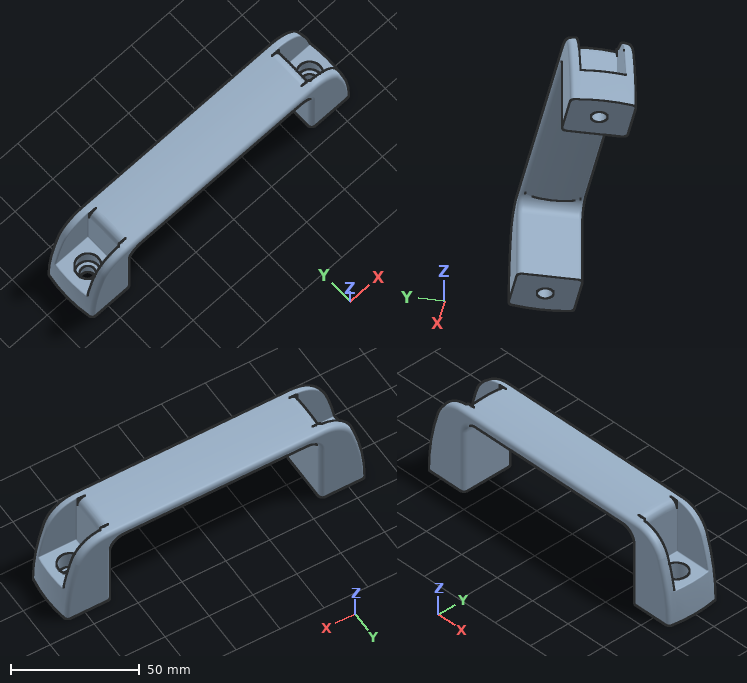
import cadquery as cq
import math

length = 138.8
width = 26.0
height = 41.0

corner_radius = 15.8
corner_end_x = -49.4

opening_half = 47.5
opening_height = 34.8
opening_corner_radius = 5.8
opening_edge_radius = 2.1
underside_bulge = 0.5

crown_radius = 63.8
edge_radius = 2.0

pocket_width = 17.8
pocket_floor_z = 15.1
pocket_back_x = -50.1
pocket_inner_radius = 0.4
pocket_rim_radius = 0.5
lip_radius = 3.6

hole_x = -58.5
hole_diameter = 6.5
counterbore_diameter = 10.5
counterbore_depth = 8.3

margin = 1.4

selection_slack = 0.1

half_length = length / 2
half_width = width / 2
corner_center_z = height - corner_radius

corner_dx = corner_end_x + half_length
flank_radius = (corner_dx**2 + corner_center_z**2 - corner_radius**2) / (2 * (corner_dx - corner_radius))
flank_center_x = flank_radius - half_length
flank_angle = math.atan2(corner_center_z, flank_center_x - corner_end_x)


def flank_point(angle, offset):
    radius = flank_radius + offset
    return (flank_center_x - radius * math.cos(angle), radius * math.sin(angle))


def corner_point(angle, offset):
    radius = corner_radius + offset
    return (corner_end_x - radius * math.cos(angle), corner_center_z + radius * math.sin(angle))


def left_outline(sketch, offset):
    """Add flank, corner and half the top, from the base of the left leg to mid-length."""
    corner_mid_angle = (flank_angle + math.pi / 2) / 2
    return (
        sketch
        .threePointArc(flank_point(flank_angle / 2, offset), flank_point(flank_angle, offset))
        .threePointArc(corner_point(corner_mid_angle, offset), (corner_end_x, height + offset))
        .lineTo(0, height + offset)
    )


def mirror_pair(left):
    return left.union(left.mirror("YZ"))


def make_body():
    """Bow with spare stock on the outside, opened below the grip."""
    sketch = cq.Workplane("XZ").moveTo(*flank_point(0, margin))
    half = left_outline(sketch, margin).lineTo(0, 0).close().extrude(half_width, both=True)
    opening = (
        cq.Workplane("XY")
        .box(2 * opening_half, width + 2 * margin, opening_height + margin)
        .translate((0, 0, (opening_height - margin) / 2))
        .edges("|Y and >Z")
        .fillet(opening_corner_radius)
    )
    body = mirror_pair(half).cut(opening)
    reach = opening_half + selection_slack
    for side in (-1, 1):
        rim = cq.selectors.BoxSelector(
            (-reach, side * half_width - selection_slack, selection_slack),
            (reach, side * half_width + selection_slack, opening_height + selection_slack),
        )
        body = body.edges(rim).fillet(opening_edge_radius)
    return body


def make_underside_bulge():
    """Shallow barrel under the grip, between the rounded edges of the opening."""
    chord_half = half_width - opening_edge_radius
    return (
        cq.Workplane("YZ")
        .moveTo(-chord_half, opening_height)
        .threePointArc((0, opening_height - underside_bulge), (chord_half, opening_height))
        .lineTo(chord_half, opening_height + margin)
        .lineTo(-chord_half, opening_height + margin)
        .close()
        .extrude(opening_half, both=True)
    )


def make_crown_cutter():
    """Stock outside the crowned, edge-rounded outer face of the left half."""
    round_y = half_width - edge_radius
    round_depth = crown_radius - math.sqrt((crown_radius - edge_radius)**2 - round_y**2)
    tangent_angle = math.asin(round_y / (crown_radius - edge_radius))
    mid_angle = (tangent_angle + math.pi / 2) / 2
    tangent_y = crown_radius * math.sin(tangent_angle)
    tangent_x = crown_radius * (1 - math.cos(tangent_angle)) - half_length
    mid_y = round_y + edge_radius * math.sin(mid_angle)
    mid_x = round_depth - edge_radius * math.cos(mid_angle) - half_length
    edge_x = round_depth - half_length
    outer_x = -half_length - 2 * margin
    outer_y = half_width + margin

    section = (
        cq.Workplane("XY", origin=(0, 0, -margin))
        .moveTo(outer_x, -outer_y)
        .lineTo(edge_x, -outer_y)
        .lineTo(edge_x, -half_width)
        .threePointArc((mid_x, -mid_y), (tangent_x, -tangent_y))
        .threePointArc((-half_length, 0), (tangent_x, tangent_y))
        .threePointArc((mid_x, mid_y), (edge_x, half_width))
        .lineTo(edge_x, outer_y)
        .lineTo(outer_x, outer_y)
        .close()
    )
    path = cq.Workplane("XZ").moveTo(-half_length, -margin).lineTo(-half_length, 0)
    return section.sweep(left_outline(path, 0))


def make_pocket():
    """Screw pocket in the left leg, open at the outer face, with rounded inner corners."""
    pocket_length = half_length + pocket_back_x + 2 * margin
    pocket_height = height - pocket_floor_z + 2 * margin
    return (
        cq.Workplane("XY")
        .box(pocket_length, pocket_width, pocket_height, centered=(False, True, False))
        .translate((pocket_back_x - pocket_length, 0, pocket_floor_z))
        .edges("<Z or (|Z and >X)")
        .edges("not <X")
        .fillet(pocket_inner_radius)
    )


def make_lip():
    """Stock above the convex lip that joins the pocket's back wall to the crowned top.

    The lip follows the crown, so its profile is revolved about the crown axis.
    """
    lip_width = pocket_width - 2 * pocket_inner_radius
    lip_end_x = pocket_back_x + lip_radius
    arc_offset = lip_radius * (1 - math.sqrt(0.5))
    crown_axis_z = height - crown_radius
    ring = (
        cq.Workplane("XZ")
        .moveTo(pocket_back_x - margin, height - lip_radius)
        .lineTo(pocket_back_x, height - lip_radius)
        .threePointArc((pocket_back_x + arc_offset, height - arc_offset), (lip_end_x, height))
        .lineTo(lip_end_x, height + margin)
        .lineTo(pocket_back_x - margin, height + margin)
        .close()
        .revolve(360, (0, crown_axis_z, 0), (1, crown_axis_z, 0))
    )
    limits = cq.Workplane("XY").box(length, lip_width, height).translate((0, 0, height))
    return ring.intersect(limits)


def round_pocket_rim(body, side):
    """Round the pocket's outer rim; picking its edge at the floor takes the whole tangent chain."""
    floor_edge = cq.selectors.NearestToPointSelector((side * half_length, 0, pocket_floor_z))
    return body.edges(floor_edge).fillet(pocket_rim_radius)


def make_screw_hole():
    counterbore_z = pocket_floor_z - counterbore_depth
    shank = (
        cq.Workplane("XY", origin=(hole_x, 0, -margin))
        .circle(hole_diameter / 2)
        .extrude(pocket_floor_z + 2 * margin)
    )
    counterbore = (
        cq.Workplane("XY", origin=(hole_x, 0, counterbore_z))
        .circle(counterbore_diameter / 2)
        .extrude(counterbore_depth + margin)
    )
    return shank.union(counterbore)


def cut_both_ends(body, left_cutter):
    return body.cut(left_cutter).cut(left_cutter.mirror("YZ"))


result = make_body().union(make_underside_bulge())
result = cut_both_ends(result, make_crown_cutter())
result = cut_both_ends(result, make_pocket())
for end in (-1, 1):
    result = round_pocket_rim(result, end)
result = cut_both_ends(result, make_lip())
result = cut_both_ends(result, make_screw_hole())